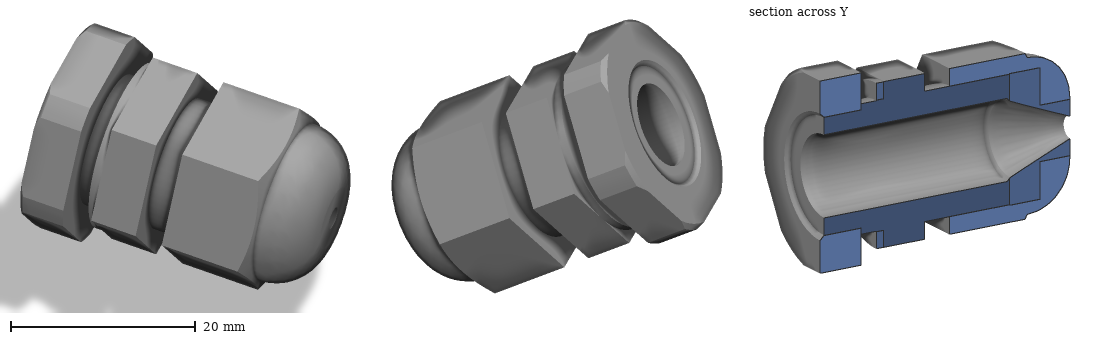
import cadquery as cq
import math

NUT_END = 5.27
WASHER_START = 7.2
WASHER_END = 8.15
BODY_HEX_END = 13.42
CAP_START = 16.52
CAP_HEX_END = 26.5
TOTAL_LENGTH = 31.95

NUT_ACROSS_FLATS = 22.0
NUT_CORNER_DIAMETER = 24.0
NUT_CHAMFER = 0.5
NUT_BORE_DIAMETER = 13.45

HEX_ACROSS_FLATS = 18.98
THREAD_DIAMETER = 15.0
BODY_BORE_DIAMETER = 9.45
BODY_BORE_CHAMFER = 0.38

DOME_DIAMETER = 18.0
CAP_CHAMFER_LENGTH = 1.0
OUTLET_DIAMETER = 6.4

SEAL_HOLE_DIAMETER = 2.5
FUNNEL_LENGTH = 7.67
SEAL_PLUG_LENGTH = 3.83

COS_30 = math.cos(math.radians(30))
HEX_CORNER_DIAMETER = HEX_ACROSS_FLATS / COS_30
BODY_END = TOTAL_LENGTH - FUNNEL_LENGTH
BORE_CHAMFER_START = BODY_END - BODY_BORE_CHAMFER
SEAL_SHOULDER = BODY_END + SEAL_PLUG_LENGTH
DOME_RADIUS = TOTAL_LENGTH - CAP_HEX_END
FUNNEL_DIAMETER = BODY_BORE_DIAMETER - 2 * BODY_BORE_CHAMFER


def cylinder(start, end, diameter):
    """Solid cylinder on the X axis between two stations."""
    return cq.Workplane("YZ", origin=(start, 0, 0)).circle(diameter / 2).extrude(end - start)


def hexagon(start, end, across_flats):
    """Hexagonal bar on the X axis, with corners on the Y axis and flats facing Z."""
    corner_diameter = across_flats / COS_30
    return cq.Workplane("YZ", origin=(start, 0, 0)).polygon(6, corner_diameter).extrude(end - start)


def cone(start, end, start_diameter, end_diameter):
    """Solid cone frustum on the X axis between two stations."""
    profile = [
        (start, 0),
        (start, start_diameter / 2),
        (end, end_diameter / 2),
        (end, 0),
    ]
    return cq.Workplane("XY").polyline(profile).close().revolve(360, (0, 0, 0), (1, 0, 0))


def make_lock_nut():
    """Hexagonal nut with rounded, chamfered corners and a countersunk bore."""
    rounding = cylinder(0, NUT_END, NUT_CORNER_DIAMETER).faces("<X").chamfer(NUT_CHAMFER)
    nut = hexagon(0, NUT_END, NUT_ACROSS_FLATS).intersect(rounding)
    bore = cylinder(0, NUT_END, NUT_BORE_DIAMETER)
    countersink = cone(0, NUT_CHAMFER, NUT_BORE_DIAMETER + 2 * NUT_CHAMFER, NUT_BORE_DIAMETER)
    return nut.cut(bore).cut(countersink)


def make_washer():
    """Flat ring around the thread, resting on the collar of the gland body."""
    ring = cylinder(WASHER_START, WASHER_END, HEX_ACROSS_FLATS)
    return ring.cut(cylinder(WASHER_START, WASHER_END, THREAD_DIAMETER))


def make_gland_body():
    """Tube with a hexagonal collar; a neck fills the lock nut and the thread enters the cap."""
    neck = cylinder(NUT_CHAMFER, NUT_END, NUT_BORE_DIAMETER)
    thread = cylinder(NUT_END, BODY_END, THREAD_DIAMETER)
    collar = hexagon(WASHER_END, BODY_HEX_END, HEX_ACROSS_FLATS)
    bore = cylinder(NUT_CHAMFER, BORE_CHAMFER_START, BODY_BORE_DIAMETER)
    taper = cone(BORE_CHAMFER_START, BODY_END, BODY_BORE_DIAMETER, FUNNEL_DIAMETER)
    return neck.union(thread).union(collar).cut(bore).cut(taper)


def make_cap_nut():
    """Hexagonal cap with chamfered corners and a dome, hollow for the thread and the seal."""
    chamfer_start = CAP_HEX_END - CAP_CHAMFER_LENGTH
    grip = hexagon(CAP_START, chamfer_start, HEX_ACROSS_FLATS)
    chamfered_end = hexagon(chamfer_start, CAP_HEX_END, HEX_ACROSS_FLATS).intersect(
        cone(chamfer_start, CAP_HEX_END, HEX_CORNER_DIAMETER, DOME_DIAMETER)
    )
    dome = cylinder(CAP_START, TOTAL_LENGTH, DOME_DIAMETER).faces(">X").edges().fillet(DOME_RADIUS)
    cavity = cylinder(CAP_START, SEAL_SHOULDER, THREAD_DIAMETER)
    outlet = cylinder(SEAL_SHOULDER, TOTAL_LENGTH, OUTLET_DIAMETER)
    return grip.union(chamfered_end).union(dome).cut(cavity).cut(outlet)


def make_seal():
    """Plug held between the gland body and the dome, with a nose in the outlet and a funnel through."""
    plug = cylinder(BODY_END, SEAL_SHOULDER, THREAD_DIAMETER)
    nose = cylinder(SEAL_SHOULDER, TOTAL_LENGTH, OUTLET_DIAMETER)
    funnel = cone(BODY_END, TOTAL_LENGTH, FUNNEL_DIAMETER, SEAL_HOLE_DIAMETER)
    return plug.union(nose).cut(funnel)


result = cq.Compound.makeCompound(
    [
        make_lock_nut().val(),
        make_washer().val(),
        make_gland_body().val(),
        make_cap_nut().val(),
        make_seal().val(),
    ]
)